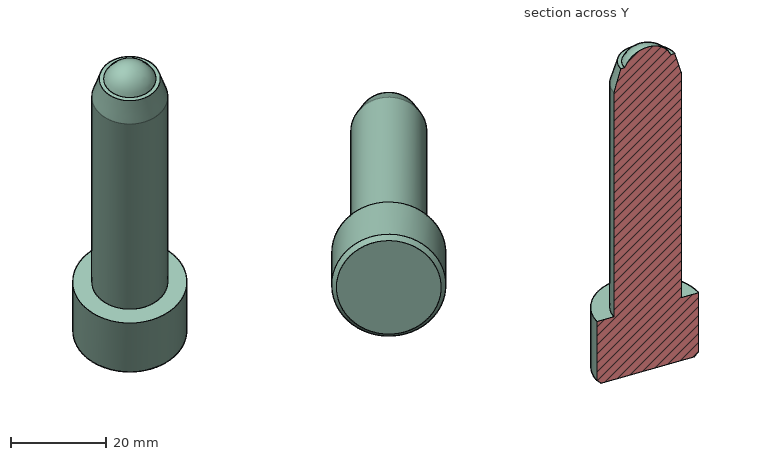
import cadquery as cq
import math

FULL_TURN = 360.0

head_diameter = 24.0
head_height = 16.0
head_chamfer = 1.0

shank_diameter = 16.0
nose_start_z = 72.65
nose_end_z = 78.1
nose_end_diameter = 12.8

overall_height = 81.68
ball_diameter = 12.0


def make_body():
    """Revolve the head, shank and tapered nose about the Z axis."""
    head_radius = head_diameter / 2
    shank_radius = shank_diameter / 2
    return (
        cq.Workplane("XZ")
        .moveTo(0, 0)
        .lineTo(head_radius - head_chamfer, 0)
        .lineTo(head_radius, head_chamfer)
        .lineTo(head_radius, head_height)
        .lineTo(shank_radius, head_height)
        .lineTo(shank_radius, nose_start_z)
        .lineTo(nose_end_diameter / 2, nose_end_z)
        .lineTo(0, nose_end_z)
        .close()
        .revolve(FULL_TURN, (0, 0), (0, 1))
    )


def make_ball_cap():
    """Revolve the part of the ball that stands above the nose."""
    ball_radius = ball_diameter / 2
    ball_center_z = overall_height - ball_radius
    cap_base_radius = math.sqrt(ball_radius**2 - (nose_end_z - ball_center_z) ** 2)
    mid_angle = math.asin(cap_base_radius / ball_radius) / 2
    arc_mid_point = (
        ball_radius * math.sin(mid_angle),
        ball_center_z + ball_radius * math.cos(mid_angle),
    )
    return (
        cq.Workplane("XZ")
        .moveTo(0, nose_end_z)
        .lineTo(cap_base_radius, nose_end_z)
        .threePointArc(arc_mid_point, (0, overall_height))
        .close()
        .revolve(FULL_TURN, (0, 0), (0, 1))
    )


result = make_body().union(make_ball_cap())